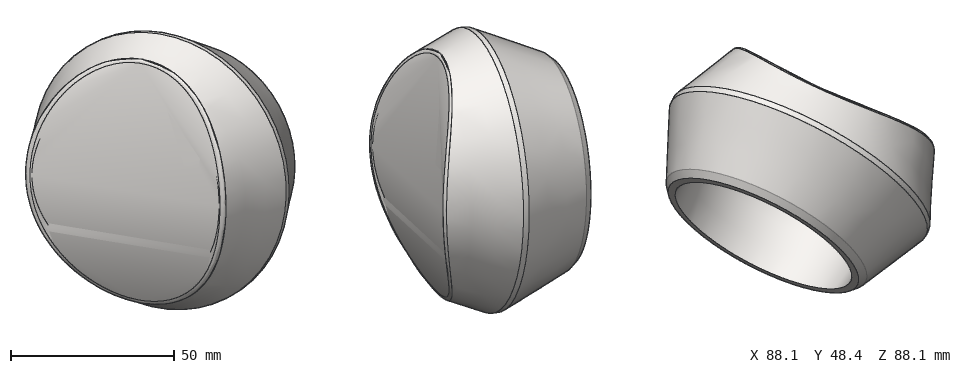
import cadquery as cq

outer_radius = 44.05

back_radius = 32.5
bevel_radius = 34.3
bevel_depth = 2.1
band_start = 24.1
band_width = 1.85
front_cone_end_radius = 33.0
front_cone_length = 26.0

bore_radius = 32.5
back_bore_radius = 30.1
taper_length = band_start
bore_length = 52.9

saddle_radius = 59.4
saddle_crown_depth = 38.2

saddle_edge_fillet = 1.2


def make_body():
    """Revolve the solid double cone with its bevelled back edge."""
    band_end = band_start + band_width
    front_end = band_end + front_cone_length
    profile = (
        cq.Workplane("YZ")
        .moveTo(0, 0)
        .lineTo(0, back_radius)
        .lineTo(-bevel_depth, bevel_radius)
        .lineTo(-band_start, outer_radius)
        .lineTo(-band_end, outer_radius)
        .lineTo(-front_end, front_cone_end_radius)
        .lineTo(-front_end, 0)
        .close()
    )
    return profile.revolve(360, (0, 0, 0), (1, 0, 0))


def cut_saddle(body):
    """Cut the cylindrical saddle and round its outer rim."""
    saddle_center = -(saddle_crown_depth + saddle_radius)
    saddle = (
        cq.Workplane("XY")
        .center(0, saddle_center)
        .circle(saddle_radius)
        .extrude(outer_radius, both=True)
    )
    saddled = cq.Workplane(body.cut(saddle).solids().val())
    return saddled.faces("%CYLINDER").faces("<Y").edges().fillet(saddle_edge_fillet)


def make_bore():
    """Revolve the tapered back bore and straight front bore together."""
    profile = (
        cq.Workplane("YZ")
        .moveTo(0, 0)
        .lineTo(0, back_bore_radius)
        .lineTo(-taper_length, bore_radius)
        .lineTo(-bore_length, bore_radius)
        .lineTo(-bore_length, 0)
        .close()
    )
    return profile.revolve(360, (0, 0, 0), (1, 0, 0))


result = cut_saddle(make_body()).cut(make_bore())